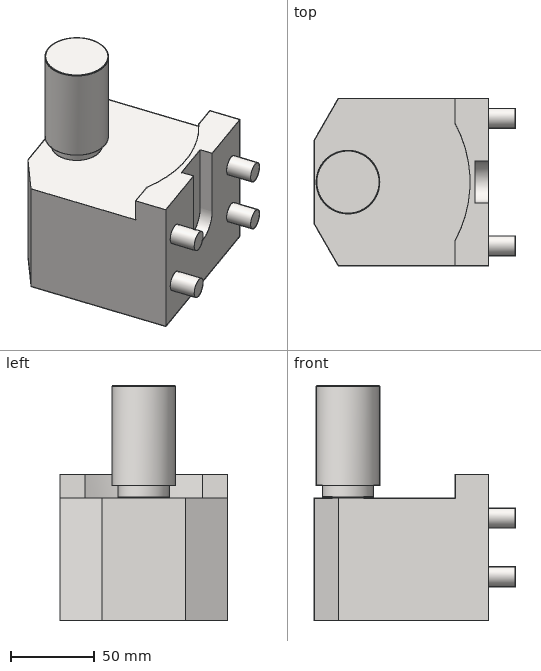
import cadquery as cq

block_length = 104.0
block_width = 100.0
block_height = 73.0
corner_length = 14.4
corner_width = 25.0

wall_top = 87.1
wall_thickness = 20.0

post_x = 20.2
post_top = 140
post_bottom = 80.5
post_diameter = 38.0
post_chamfer = 0.4
collar_bottom = 73.8
collar_diameter = 30.5
neck_diameter = 19.0

clearance_radius = 72.8

slot_width = 25.0
slot_depth = 8.0
slot_center_z = wall_top / 2

pin_diameter = 12.0
pin_length = 16.0
pin_spacing_y = 76.0
pin_spacing_z = 35


def cylinder_on_post_axis(diameter, bottom, top):
    """Upright cylinder centred on the post axis."""
    return (
        cq.Workplane("XY", origin=(post_x, 0, bottom))
        .circle(diameter / 2)
        .extrude(top - bottom)
    )


def make_block():
    """Block with its two front vertical corners cut off at an angle."""
    half_width = block_width / 2
    front_half_width = half_width - corner_width
    outline = [
        (0, -front_half_width),
        (corner_length, -half_width),
        (block_length, -half_width),
        (block_length, half_width),
        (corner_length, half_width),
        (0, front_half_width),
    ]
    return cq.Workplane("XY").polyline(outline).close().extrude(block_height)


def make_wall():
    """Raised back wall, hollowed by the clearance arc."""
    wall = cq.Workplane("XY").box(
        wall_thickness, block_width, wall_top - block_height, centered=(False, True, False)
    ).translate((block_length - wall_thickness, 0, block_height))
    return wall.cut(cylinder_on_post_axis(2 * clearance_radius, block_height, wall_top))


def make_post():
    """Neck, collar and post stacked on one axis, with a chamfered top rim."""
    neck = cylinder_on_post_axis(neck_diameter, block_height, collar_bottom)
    collar = cylinder_on_post_axis(collar_diameter, collar_bottom, post_bottom)
    post = cylinder_on_post_axis(post_diameter, post_bottom, post_top)
    post = post.faces(">Z").edges().chamfer(post_chamfer)
    return neck.union(collar).union(post)


def make_slot():
    """Cutter for the upright slot: a round lower end and straight sides."""
    back_plane = cq.Workplane("YZ", origin=(block_length, 0, 0))
    half_width = slot_width / 2
    return (
        back_plane.moveTo(-half_width, wall_top)
        .lineTo(-half_width, slot_center_z)
        .threePointArc((0, slot_center_z - half_width), (half_width, slot_center_z))
        .lineTo(half_width, wall_top)
        .close()
        .extrude(-slot_depth)
    )


def make_pins():
    """Four pins standing out of the back face."""
    return (
        cq.Workplane("YZ", origin=(block_length, 0, wall_top / 2))
        .rarray(pin_spacing_y, pin_spacing_z, 2, 2)
        .circle(pin_diameter / 2)
        .extrude(pin_length)
    )


result = (
    make_block()
    .union(make_wall())
    .union(make_post())
    .cut(make_slot())
    .union(make_pins())
)